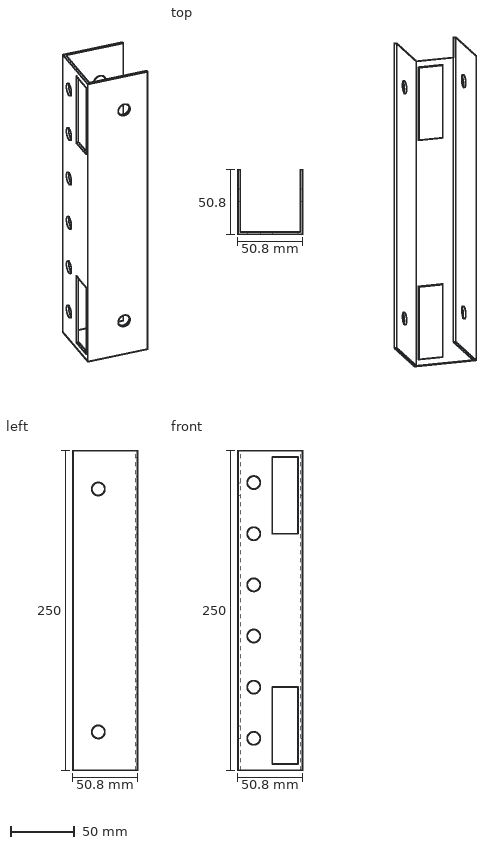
import cadquery as cq

length = 250.0
width = 50.8
depth = 50.8
wall = 2.0

hole_diameter = 10.0

web_hole_count = 6
web_hole_pitch = 40.0
web_hole_from_side = 12.5

window_width = 20.0
window_height = 60.0
window_from_side = 3.8
window_from_end = 5.0

flange_hole_from_end = 30.0
flange_hole_from_open_edge = 20.0


def make_channel():
    """U-channel centred on the origin."""
    outer = cq.Workplane("XY").box(width, depth, length)
    inside = cq.Workplane("XY").box(width - 2 * wall, depth, length)
    return outer.cut(inside.translate((0, wall, 0)))


def make_web_cutters():
    """Hole row and windows, crossing only the web at -Y."""
    web_face = cq.Workplane("XZ", origin=(0, -depth / 2, 0))
    hole_x = -width / 2 + web_hole_from_side
    window_x = width / 2 - window_from_side - window_width / 2
    window_z = length / 2 - window_from_end - window_height / 2
    holes = (
        web_face.center(hole_x, 0)
        .rarray(2.5, web_hole_pitch, 1, web_hole_count)
        .circle(hole_diameter / 2)
        .extrude(-wall)
    )
    windows = (
        web_face.pushPoints([(window_x, -window_z), (window_x, window_z)])
        .rect(window_width, window_height)
        .extrude(-wall)
    )
    return holes.add(windows).combine()


def make_flange_cutters():
    """Holes that pass through both flanges along X."""
    hole_y = depth / 2 - flange_hole_from_open_edge
    hole_z = length / 2 - flange_hole_from_end
    return (
        cq.Workplane("YZ")
        .pushPoints([(hole_y, -hole_z), (hole_y, hole_z)])
        .circle(hole_diameter / 2)
        .extrude(width, both=True)
    )


result = make_channel().cut(make_web_cutters()).cut(make_flange_cutters())